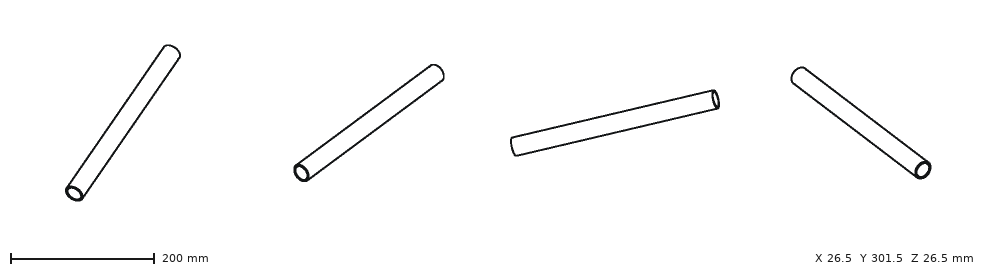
import cadquery as cq

length = 301.5
outer_diameter = 26.5
wall_thickness = 2.7
inner_diameter = outer_diameter - 2 * wall_thickness

result = (
    cq.Workplane("XZ", origin=(0, length / 2, 0))
    .circle(outer_diameter / 2)
    .circle(inner_diameter / 2)
    .extrude(length)
)